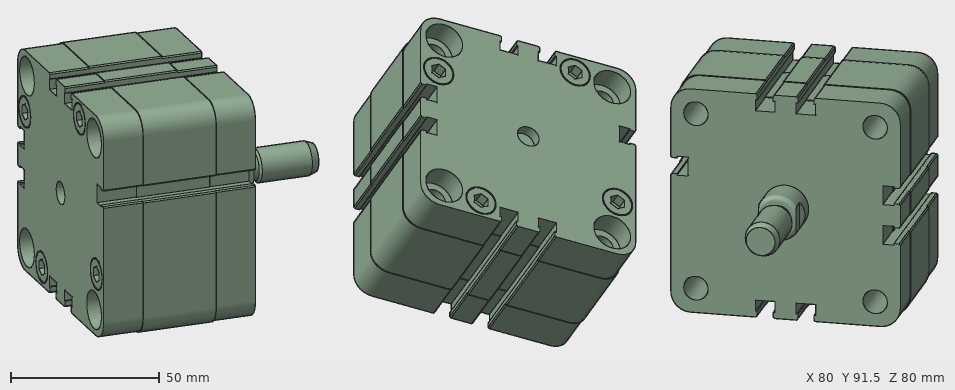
import cadquery as cq
import math


TOTAL_LENGTH = 91.5
BARREL_SIZE = 80.0
COVER_INSET = 0.3
CORNER_RADIUS = 6.95
COVER_LENGTH = 14.3
BARREL_LENGTH = 26.4
BODY_LENGTH = 2 * COVER_LENGTH + BARREL_LENGTH

SLOT_SIDE_OFFSET = 7.0
SINGLE_SLOT_OFFSET = 12.0
SLOT_MOUTH_WIDTH = 5.6
SLOT_INNER_WIDTH = 6.7
SLOT_LIP_DEPTH = 2.5
SLOT_DEPTH = 6.0
SLOT_MOUTH_CHAMFER = 0.5

MOUNT_HOLE_OFFSET = 31.0
MOUNT_HOLE_DIAMETER = 8.4
MOUNT_BORE_DIAMETER = 13.5
MOUNT_BORE_DEPTH = 8.4

SCREW_OFFSET_LONG = 33.0
SCREW_OFFSET_SHORT = 17.4
SCREW_BORE_DIAMETER = 11.1
SCREW_HEAD_DIAMETER = 10.5
SCREW_GAP_DEPTH = 0.5
HEX_ACROSS_FLATS = 5.0
HEX_ACROSS_CORNERS = HEX_ACROSS_FLATS / math.cos(math.pi / 6)
HEX_DEPTH = 4.0

CENTRE_HOLE_DIAMETER = 8.0
CENTRE_HOLE_DEPTH = 4.0

COLLAR_DIAMETER = 16.0
COLLAR_LENGTH = 12.5
COLLAR_FILLET = 1.7
FLAT_WIDTH = 13.0
FLAT_LENGTH = 5.6
NECK_DIAMETER = 10.0
NECK_LENGTH = 2.4
THREAD_DIAMETER = 12.0
THREAD_START_TAPER = 0.7
THREAD_END_TAPER = 2.7


def prism(profile, length):
    """Extrude an XZ profile along +Y."""
    return profile.extrude(-length)


def xz_plane(y):
    """Workplane across the cylinder axis; its normal points along -Y."""
    return cq.Workplane("XZ", origin=(0, y, 0))


def slot_cutter(side_angle, offset, surface, floor, y_start, length):
    """Stepped slot in the side that faces side_angle degrees from +Z."""
    half_mouth = SLOT_MOUTH_WIDTH / 2
    half_inner = SLOT_INNER_WIDTH / 2
    lip = BARREL_SIZE / 2 - SLOT_LIP_DEPTH
    half_outline = [
        (half_inner, floor),
        (half_inner, lip),
        (half_mouth, lip),
        (half_mouth, surface - SLOT_MOUTH_CHAMFER),
        (half_mouth + SLOT_MOUTH_CHAMFER, surface),
        (half_mouth + SLOT_MOUTH_CHAMFER, BARREL_SIZE),
    ]
    right = [(offset + x, z) for x, z in half_outline]
    left = [(offset - x, z) for x, z in reversed(half_outline)]
    cutter = prism(xz_plane(y_start).polyline(right + left).close(), length)
    return cutter.rotate((0, 0, 0), (0, 1, 0), side_angle)


def body_section(y_start, length, inset):
    """One slotted slice of the body, inset from the barrel outline."""
    size = BARREL_SIZE - 2 * inset
    surface = size / 2
    floor = surface - SLOT_DEPTH
    section = prism(xz_plane(y_start).rect(size, size), length)
    section = section.edges("|Y").fillet(CORNER_RADIUS)

    slots = [(90, -SINGLE_SLOT_OFFSET)]
    for side_angle in (0, 180, 270):
        for offset in (-SLOT_SIDE_OFFSET, SLOT_SIDE_OFFSET):
            slots.append((side_angle, offset))
    for side_angle, offset in slots:
        section = section.cut(slot_cutter(side_angle, offset, surface, floor, y_start, length))
    return section


def rod():
    """Turned rod with a wrench-flat collar, a neck and a plain thread."""
    collar_end = BODY_LENGTH + COLLAR_LENGTH
    collar = prism(xz_plane(BODY_LENGTH).circle(COLLAR_DIAMETER / 2), COLLAR_LENGTH)
    collar = collar.faces(">Y").edges().fillet(COLLAR_FILLET)

    flat_x = FLAT_WIDTH / 2
    shoulder_rise = COLLAR_DIAMETER / 2
    flat_start = collar_end - FLAT_LENGTH
    flat_cutter = (
        cq.Workplane("XY")
        .polyline([
            (flat_x, flat_start),
            (flat_x, collar_end),
            (flat_x + shoulder_rise, collar_end),
            (flat_x + shoulder_rise, flat_start - shoulder_rise),
        ])
        .close()
        .extrude(COLLAR_DIAMETER, both=True)
    )
    collar = collar.cut(flat_cutter).cut(flat_cutter.mirror("YZ"))

    neck_radius = NECK_DIAMETER / 2
    thread_radius = THREAD_DIAMETER / 2
    neck_end = collar_end + NECK_LENGTH
    thread = (
        cq.Workplane("XY")
        .polyline([
            (0, BODY_LENGTH),
            (neck_radius, BODY_LENGTH),
            (neck_radius, neck_end),
            (thread_radius, neck_end + THREAD_START_TAPER),
            (thread_radius, TOTAL_LENGTH - THREAD_END_TAPER),
            (neck_radius, TOTAL_LENGTH),
            (0, TOTAL_LENGTH),
        ])
        .close()
        .revolve(360, (0, 0, 0), (0, 1, 0))
    )
    return collar.union(thread)


body = (
    body_section(0, COVER_LENGTH, COVER_INSET)
    .union(body_section(COVER_LENGTH, BARREL_LENGTH, 0))
    .union(body_section(COVER_LENGTH + BARREL_LENGTH, COVER_LENGTH, COVER_INSET))
)

mount_points = [
    (x, z)
    for x in (-MOUNT_HOLE_OFFSET, MOUNT_HOLE_OFFSET)
    for z in (-MOUNT_HOLE_OFFSET, MOUNT_HOLE_OFFSET)
]
front = xz_plane(0)
body = body.cut(prism(front.pushPoints(mount_points).circle(MOUNT_HOLE_DIAMETER / 2), BODY_LENGTH))
body = body.cut(prism(front.pushPoints(mount_points).circle(MOUNT_BORE_DIAMETER / 2), MOUNT_BORE_DEPTH))

screw_points = [
    (-SCREW_OFFSET_LONG, SCREW_OFFSET_SHORT),
    (SCREW_OFFSET_SHORT, SCREW_OFFSET_LONG),
    (SCREW_OFFSET_LONG, -SCREW_OFFSET_SHORT),
    (-SCREW_OFFSET_SHORT, -SCREW_OFFSET_LONG),
]
screw_gaps = prism(
    front.pushPoints(screw_points).circle(SCREW_BORE_DIAMETER / 2).circle(SCREW_HEAD_DIAMETER / 2),
    SCREW_GAP_DEPTH,
)
body = body.cut(screw_gaps)
hex_socket = prism(xz_plane(0).polygon(6, HEX_ACROSS_CORNERS), HEX_DEPTH)
hex_socket = hex_socket.rotate((0, 0, 0), (0, 1, 0), 90)
for x, z in screw_points:
    body = body.cut(hex_socket.translate((x, 0, z)))

body = body.cut(prism(front.circle(CENTRE_HOLE_DIAMETER / 2), CENTRE_HOLE_DEPTH))

result = body.union(rod())